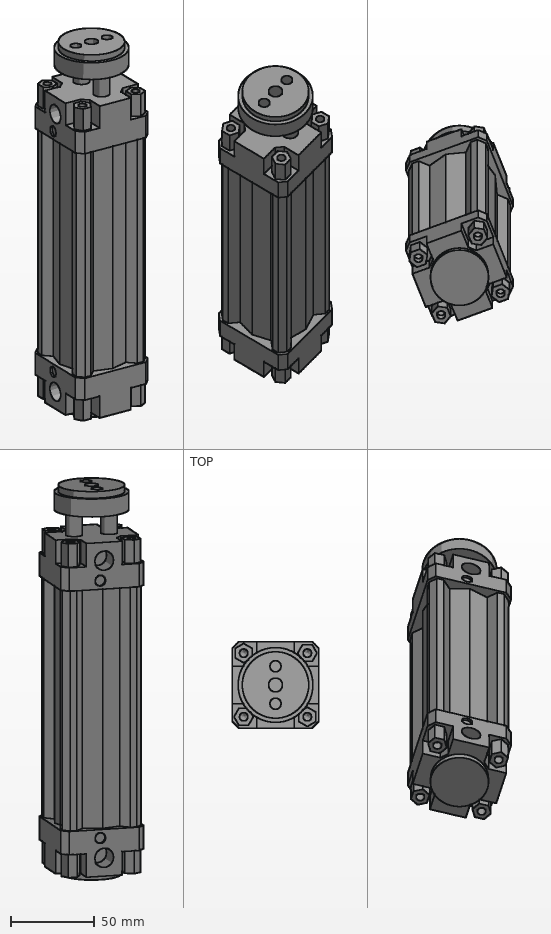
import cadquery as cq
import math

spigot_height = 4.0
cap_height = 28.7
barrel_height = 147.5
rod_exposed = 15.0
flange_height = 11.0
pilot_height = 4.0

cap_bottom = spigot_height
barrel_bottom = cap_bottom + cap_height
barrel_top = barrel_bottom + barrel_height
housing_top = barrel_top + cap_height
flange_bottom = housing_top + rod_exposed

cap_width = 52.0
cap_chamfer = 4.0
notch_height = 14.3
neck_half_width = 11.2
notch_chamfer = 3.8
spigot_diameter = 35.0

nut_offset = 19.1
nut_across_flats = 10.0
nut_across_corners = nut_across_flats / math.cos(math.radians(30))
nut_hole_diameter = 5.0
nut_hole_depth = 7.2
drill_tip_angle = 118

port_diameter = 11.7
port_depth = 14.3
port_from_end = 11.2
screw_diameter = 6.5
screw_depth = 1.5
screw_from_end = 23.5
screw_x = -2.5

barrel_width = 49.5
barrel_half_width = barrel_width / 2
barrel_chamfer = 3.8
corner_land_inner = 16.7
valley_x = 11.7
valley_y = barrel_half_width - (corner_land_inner - valley_x)
ridge_y = 23.0

flange_diameter = 45.0
pilot_diameter = 40.0
rod_diameter = 10.0
rod_offset = 11.0
mount_hole_diameter = 6.7
mount_hole_offset = 11.2
center_hole_diameter = 8.4


def make_barrel():
    """Extruded tube with four corner ribs and a shallow ridge along each side."""
    chamfer_end = barrel_half_width - barrel_chamfer
    side = [
        (-chamfer_end, -barrel_half_width),
        (-corner_land_inner, -barrel_half_width),
        (-valley_x, -valley_y),
        (0, -ridge_y),
        (valley_x, -valley_y),
        (corner_land_inner, -barrel_half_width),
        (chamfer_end, -barrel_half_width),
    ]
    outline = []
    for _ in range(4):
        outline += side
        side = [(-y, x) for x, y in side]
    return cq.Workplane("XY").workplane(offset=barrel_bottom).polyline(outline).close().extrude(barrel_height)


def make_notch():
    """Cutter for the notch in the (+X, +Y) corner at the upper end of a cap."""
    outer = cap_width / 2
    inner = neck_half_width
    return (
        cq.Workplane("XY")
        .workplane(offset=cap_height - notch_height)
        .moveTo(inner + notch_chamfer, inner)
        .lineTo(outer, inner)
        .lineTo(outer, outer)
        .lineTo(inner, outer)
        .lineTo(inner, inner + notch_chamfer)
        .close()
        .extrude(notch_height)
    )


def make_nut():
    """Hexagonal nut in the (+X, +Y) corner, still without its drilled hole."""
    return (
        cq.Workplane("XY", origin=(nut_offset, nut_offset, cap_height - notch_height))
        .polygon(6, nut_across_corners)
        .extrude(notch_height)
    )


def make_nut_hole():
    """Cutter for the drilled hole of the nut in the (+X, +Y) corner."""
    radius = nut_hole_diameter / 2
    tip_length = radius / math.tan(math.radians(drill_tip_angle / 2))
    return (
        cq.Workplane("XZ")
        .moveTo(0, 0)
        .lineTo(radius, 0)
        .lineTo(radius, -nut_hole_depth)
        .lineTo(0, -nut_hole_depth - tip_length)
        .close()
        .revolve(360, (0, 0), (0, 1))
        .translate((nut_offset, nut_offset, cap_height))
    )


def side_hole(x, z, diameter, depth):
    """Cutter for a blind hole drilled into the -Y face of a cap."""
    return (
        cq.Workplane("XZ", origin=(x, -cap_width / 2, z))
        .circle(diameter / 2)
        .extrude(-depth)
    )


def make_cap():
    """Cap with its inner face at Z = 0 and its notched outer end upward."""
    cap = (
        cq.Workplane("XY")
        .rect(cap_width, cap_width)
        .extrude(cap_height)
        .edges("|Z")
        .chamfer(cap_chamfer)
    )
    for corner in range(4):
        turn = 90 * corner
        cap = cap.cut(make_notch().rotate((0, 0, 0), (0, 0, 1), turn))
        cap = cap.union(make_nut().rotate((0, 0, 0), (0, 0, 1), turn))
        cap = cap.cut(make_nut_hole().rotate((0, 0, 0), (0, 0, 1), turn))
    cap = cap.cut(side_hole(0, cap_height - port_from_end, port_diameter, port_depth))
    return cap.cut(side_hole(screw_x, cap_height - screw_from_end, screw_diameter, screw_depth))


def make_housing():
    """Barrel, the two mirrored end caps and the round spigot underneath."""
    cap = make_cap()
    upper_cap = cap.translate((0, 0, barrel_top))
    lower_cap = cap.mirror("XY").translate((0, 0, barrel_bottom))
    spigot = cq.Workplane("XY").circle(spigot_diameter / 2).extrude(spigot_height)
    return make_barrel().union(upper_cap).union(lower_cap).union(spigot)


def make_yoke():
    """Stepped round flange on two rods that stand on the upper cap."""
    rods = (
        cq.Workplane("XY")
        .workplane(offset=housing_top)
        .pushPoints([(-rod_offset, 0), (rod_offset, 0)])
        .circle(rod_diameter / 2)
        .extrude(rod_exposed)
    )
    flange = (
        cq.Workplane("XY")
        .workplane(offset=flange_bottom)
        .circle(flange_diameter / 2)
        .extrude(flange_height)
        .faces(">Z")
        .workplane()
        .circle(pilot_diameter / 2)
        .extrude(pilot_height)
    )
    flange = (
        flange.faces(">Z")
        .workplane()
        .pushPoints([(0, -mount_hole_offset), (0, mount_hole_offset)])
        .hole(mount_hole_diameter)
    )
    flange = flange.faces(">Z").workplane().hole(center_hole_diameter)
    return flange.union(rods)


housing = make_housing()
yoke = make_yoke()

result = cq.Compound.makeCompound([housing.val(), yoke.val()])